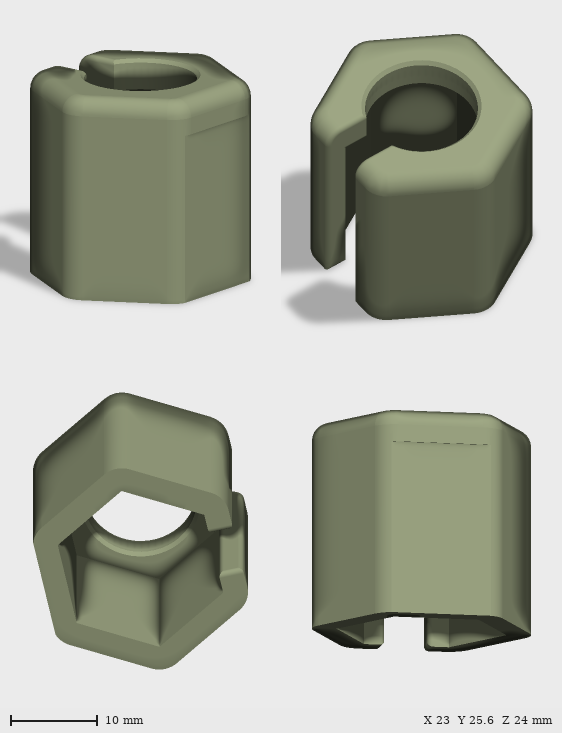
import cadquery as cq
import math

width_across_flats = 23.0
height = 24.0
corner_radius = 3.0
top_fillet = 2.0

pocket_across_flats = 17.27
roof_thickness = 4.0

bore_diameter = 13.0
bore_chamfer = 0.4

slot_width = 5.05
slot_fillet = 0.6

relief_depth = 0.15

pocket_depth = height - roof_thickness
edge_tolerance = 0.003


def hexagonal_prism(across_flats, depth):
    """Hexagonal prism standing on the XY plane with corners on the Y axis."""
    across_corners = across_flats / math.cos(math.pi / 6)
    return (
        cq.Workplane("XY")
        .polygon(6, across_corners)
        .extrude(depth)
        .rotate((0, 0, 0), (0, 0, 1), 30)
    )


def make_body():
    body = hexagonal_prism(width_across_flats, height)
    body = body.edges("|Z").fillet(corner_radius)
    return body.faces(">Z").edges().fillet(top_fillet)


def make_bore():
    """Bore cutter flaring outward at both faces of the roof."""
    radius = bore_diameter / 2
    flared_radius = radius + bore_chamfer
    return (
        cq.Workplane("XZ")
        .moveTo(0, pocket_depth)
        .lineTo(flared_radius, pocket_depth)
        .lineTo(radius, pocket_depth + bore_chamfer)
        .lineTo(radius, height - bore_chamfer)
        .lineTo(flared_radius, height)
        .lineTo(0, height)
        .close()
        .revolve(360, (0, 0, 0), (0, 1, 0))
    )


def make_slot():
    slot = cq.Workplane("XY").box(
        width_across_flats, slot_width, height, centered=(False, True, False)
    )
    return slot.translate((-width_across_flats, 0, 0))


def make_relief():
    relief = cq.Workplane("XY").box(
        relief_depth, width_across_flats, pocket_depth, centered=(False, True, False)
    )
    return relief.translate((width_across_flats / 2 - relief_depth, 0, 0))


def round_slot_edges(part):
    """Round the rim of both slot walls, leaving the edges at the bore sharp."""
    bore_reach = bore_diameter / 2 + bore_chamfer
    rim = []
    for edge in part.edges().vals():
        box = edge.BoundingBox()
        lies_on_wall = (
            abs(abs(box.ymin) - slot_width / 2) < edge_tolerance
            and box.ylen < edge_tolerance
        )
        at_bore = box.xmin > -bore_reach and box.zmin > pocket_depth - edge_tolerance
        if lies_on_wall and not at_bore:
            rim.append(edge)
    return part.newObject(rim).fillet(slot_fillet)


pocket = hexagonal_prism(pocket_across_flats, pocket_depth)
slotted = make_body().cut(pocket).cut(make_bore()).cut(make_slot())
result = round_slot_edges(slotted).cut(make_relief())